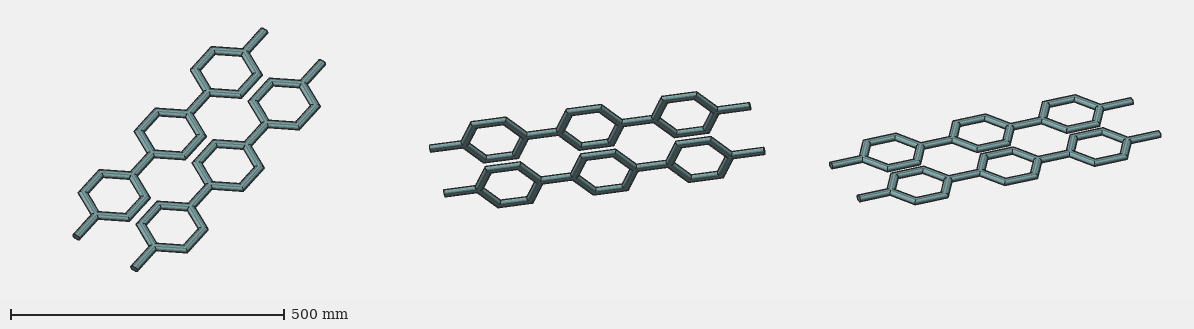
import cadquery as cq
import math

total_length = 598.0
total_width = 244.5
strand_pitch = 130.0
ring_pitch = 178.0
rings_per_strand = 3
strand_count = 2

bar_width = 15.5
bar_height = 10.0

ring_sides = 6
half_corner_angle = 180 / ring_sides
ring_width = total_width - (strand_count - 1) * strand_pitch
mid_flat_radius = (ring_width - bar_width) / 2
mid_corner_radius = mid_flat_radius / math.cos(math.radians(half_corner_angle))

ring_positions = [(i - (rings_per_strand - 1) / 2) * ring_pitch for i in range(rings_per_strand)]
strand_positions = [(i - (strand_count - 1) / 2) * strand_pitch for i in range(strand_count)]


def bar_profile(center_x, center_y):
    """Bar outline across the Y direction: flat top and bottom, half-round sides."""
    plane = cq.Plane(origin=(center_x, center_y, 0), xDir=(1, 0, 0), normal=(0, 1, 0))
    return cq.Workplane(plane).slot2D(bar_width, bar_height)


def make_ring(center_y):
    """Hexagonal ring: the bar outline swept around a hexagon with mitred corners."""
    start = (mid_flat_radius, 0)
    corner_angles = [math.radians((2 * i + 1) * half_corner_angle) for i in range(ring_sides)]
    corners = [(mid_corner_radius * math.cos(a), mid_corner_radius * math.sin(a)) for a in corner_angles]
    path = cq.Workplane("XY").polyline([start] + corners).close()
    ring = bar_profile(mid_flat_radius, 0).sweep(path, transition="right")
    return ring.translate((0, center_y, 0))


def make_link(start_y, end_y):
    """Straight bar along the strand centreline."""
    return bar_profile(0, start_y).extrude(end_y - start_y)


def make_strand(center_x):
    """Chain of rings joined by links, with a free link at each end."""
    link_starts = [-total_length / 2] + [y + mid_corner_radius for y in ring_positions]
    link_ends = [y - mid_corner_radius for y in ring_positions] + [total_length / 2]

    strand = make_ring(ring_positions[0])
    for center_y in ring_positions[1:]:
        strand = strand.union(make_ring(center_y))
    for start_y, end_y in zip(link_starts, link_ends):
        strand = strand.union(make_link(start_y, end_y))
    return strand.translate((center_x, 0, 0))


strands = [make_strand(center_x) for center_x in strand_positions]

result = cq.Compound.makeCompound([strand.solids().val() for strand in strands])